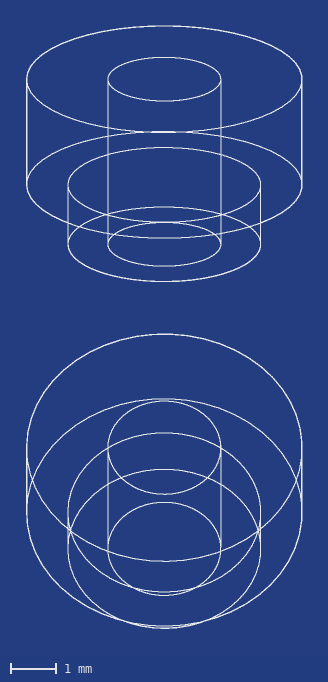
import cadquery as cq

head_diameter = 6.0
spigot_diameter = 4.2
bore_diameter = 2.46
total_height = 3.9
head_height = 2.495
spigot_height = total_height - head_height

spigot = cq.Workplane("XY").circle(spigot_diameter / 2).extrude(spigot_height)

head = (
    cq.Workplane("XY")
    .workplane(offset=spigot_height)
    .circle(head_diameter / 2)
    .extrude(head_height)
)

bore = cq.Workplane("XY").circle(bore_diameter / 2).extrude(total_height)

result = spigot.union(head).cut(bore)